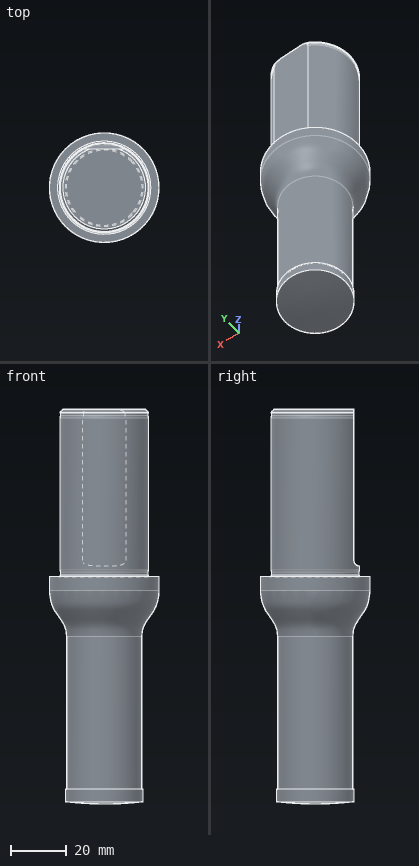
import cadquery as cq
import math

TOTAL_HEIGHT = 142.0
TIP_RIM_HEIGHT = 0.9
TIP_TOP = 5.4
BOWL_BOTTOM = 60.2
FLANGE_BOTTOM = 76.8
FLANGE_TOP = 82.0

TIP_RADIUS = 28.0 / 2
NECK_RADIUS = 27.1 / 2
FLANGE_RADIUS = 39.5 / 2
BOWL_BULGE = 0.5
SHANK_RADIUS = 32.0 / 2
GROOVE_RADIUS = 31.5 / 2

END_CHAMFER = 1.1
END_LAND = 0.3
END_GROOVE_WIDTH = 0.9
END_GROOVE_TAPER = 0.9

UNDERCUT_HEIGHT = 1.5
UNDERCUT_TAPER = 0.7
FACE_UNDERCUT_RADIUS = 33.5 / 2
FACE_UNDERCUT_DEPTH = 0.3
UNDERCUT_CORNER_WIDTH = 0.4
UNDERCUT_CORNER_HEIGHT = 0.4

FLAT_OFFSET = 13.9
FLAT_BOTTOM = 85.6
FLAT_RUNOUT_RADIUS = SHANK_RADIUS - FLAT_OFFSET


def make_tip():
    """Short wide disc with a shallow spherical underside."""
    sphere_radius = (TIP_RADIUS**2 + TIP_RIM_HEIGHT**2) / (2 * TIP_RIM_HEIGHT)
    arc_mid_radius = TIP_RADIUS / 2
    arc_mid_height = sphere_radius - math.sqrt(sphere_radius**2 - arc_mid_radius**2)
    profile = (
        cq.Workplane("XZ")
        .moveTo(0, 0)
        .threePointArc((arc_mid_radius, arc_mid_height), (TIP_RADIUS, TIP_RIM_HEIGHT))
        .lineTo(TIP_RADIUS, TIP_TOP)
        .lineTo(0, TIP_TOP)
        .close()
    )
    return profile.revolve(360, (0, 0, 0), (0, 1, 0))


def make_turned_holder():
    """Neck, S-curved bowl, flange and shank as one revolved profile."""
    bowl_middle = ((NECK_RADIUS + FLANGE_RADIUS) / 2 + BOWL_BULGE, (BOWL_BOTTOM + FLANGE_BOTTOM) / 2)
    bowl_top = (FLANGE_RADIUS, FLANGE_BOTTOM)
    upward = (0, 1)

    undercut_top = FLANGE_TOP + UNDERCUT_HEIGHT
    chamfer_bottom = TOTAL_HEIGHT - END_CHAMFER
    groove_top = chamfer_bottom - END_LAND
    groove_bottom = groove_top - END_GROOVE_WIDTH

    profile = (
        cq.Workplane("XZ")
        .moveTo(0, TIP_TOP)
        .lineTo(NECK_RADIUS, TIP_TOP)
        .lineTo(NECK_RADIUS, BOWL_BOTTOM)
        .spline([bowl_middle, bowl_top], tangents=[upward, upward], includeCurrent=True)
        .lineTo(FLANGE_RADIUS, FLANGE_TOP)
        .lineTo(FACE_UNDERCUT_RADIUS, FLANGE_TOP)
        .lineTo(GROOVE_RADIUS + UNDERCUT_CORNER_WIDTH, FLANGE_TOP - FACE_UNDERCUT_DEPTH)
        .lineTo(GROOVE_RADIUS, FLANGE_TOP + UNDERCUT_CORNER_HEIGHT)
        .lineTo(GROOVE_RADIUS, undercut_top)
        .lineTo(SHANK_RADIUS, undercut_top + UNDERCUT_TAPER)
        .lineTo(SHANK_RADIUS, groove_bottom - END_GROOVE_TAPER)
        .lineTo(GROOVE_RADIUS, groove_bottom)
        .lineTo(GROOVE_RADIUS, groove_top)
        .lineTo(SHANK_RADIUS, groove_top)
        .lineTo(SHANK_RADIUS, chamfer_bottom)
        .lineTo(SHANK_RADIUS - END_CHAMFER, TOTAL_HEIGHT)
        .lineTo(0, TOTAL_HEIGHT)
        .close()
    )
    return profile.revolve(360, (0, 0, 0), (0, 1, 0))


def make_flat_cutter():
    """Block that cuts the shank flat, with a concave round at its lower end."""
    runout_top = FLAT_BOTTOM + FLAT_RUNOUT_RADIUS
    runout_mid_inset = FLAT_RUNOUT_RADIUS * (1 - math.sqrt(0.5))
    profile = (
        cq.Workplane("YZ")
        .moveTo(FLAT_OFFSET, TOTAL_HEIGHT)
        .lineTo(FLAT_OFFSET, runout_top)
        .threePointArc(
            (FLAT_OFFSET + runout_mid_inset, FLAT_BOTTOM + runout_mid_inset),
            (SHANK_RADIUS, FLAT_BOTTOM),
        )
        .lineTo(SHANK_RADIUS, TOTAL_HEIGHT)
        .close()
    )
    return profile.extrude(SHANK_RADIUS, both=True)


tip = make_tip()
holder = make_turned_holder().cut(make_flat_cutter())

result = cq.Compound.makeCompound([tip.val(), holder.val()])